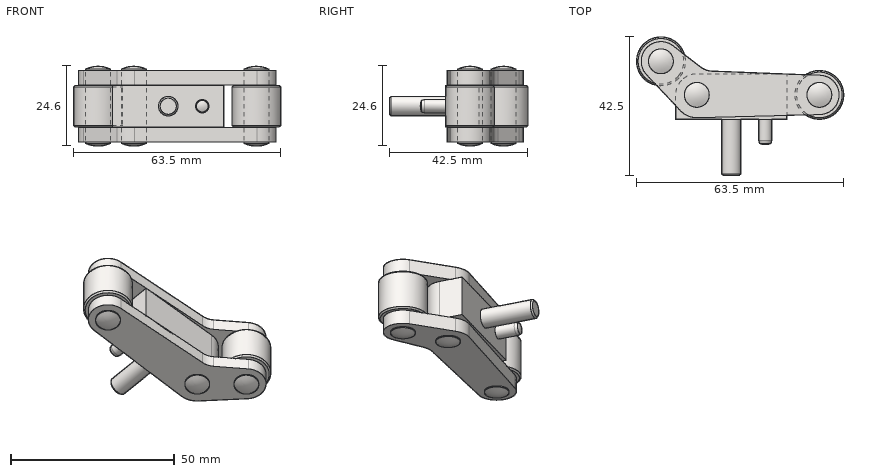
import cadquery as cq
import math

LEFT_ROLLER_AXIS = (-11.0, 10.3)
BLOCK_RIVET_AXIS = (0.0, 0.0)
RIGHT_ROLLER_AXIS = (37.5, 0.0)
RIVET_AXES = [LEFT_ROLLER_AXIS, BLOCK_RIVET_AXIS, RIGHT_ROLLER_AXIS]
ROLLER_AXES = [LEFT_ROLLER_AXIS, RIGHT_ROLLER_AXIS]

PLATE_INNER_Z = 6.5
PLATE_THICKNESS = 4.5
PLATE_OUTER_Z = PLATE_INNER_Z + PLATE_THICKNESS
LOBE_RADIUS = 6.0
ELBOW_RADIUS = 7.0
INNER_BEND_REACH = 7.5
INNER_BEND_FILLET = 6.0

PLATE_CLEARANCE = 0.05
CORE_HALF_HEIGHT = PLATE_INNER_Z - PLATE_CLEARANCE
ROLLER_RADIUS = 7.5
ROLLER_CHAMFER = 0.5
BLOCK_END_RADIUS = 6.5
BLOCK_FRONT_Y = -7.5
BLOCK_RIGHT_X = 27.55

RIVET_RADIUS = 3.8
RIVET_RIM_HEIGHT = 0.4
RIVET_DOME_HEIGHT = 0.9

STUD_X = 10.5
STUD_RADIUS = 3.0
STUD_LENGTH = 17.2
STUD_CHAMFER = 0.5
PIN_X = 20.95
PIN_RADIUS = 2.0
PIN_TIP_RADIUS = 1.8
PIN_STRAIGHT_LENGTH = 6.4
PIN_TAPER_LENGTH = 0.95
PIN_DOME_HEIGHT = 0.4


def polar(center, radius, angle):
    """Point at the given radius and angle around a center."""
    return (center[0] + radius * math.cos(angle), center[1] + radius * math.sin(angle))


def tangent_normal(start, start_radius, end, end_radius, side):
    """Direction of the normal of an outer tangent line; side +1 is left of start-to-end, -1 right."""
    dx = end[0] - start[0]
    dy = end[1] - start[1]
    lean = math.acos((start_radius - end_radius) / math.hypot(dx, dy))
    return math.atan2(dy, dx) + side * lean


def make_plate(bottom_z):
    left, elbow, right = LEFT_ROLLER_AXIS, BLOCK_RIVET_AXIS, RIGHT_ROLLER_AXIS
    left_lower = tangent_normal(left, LOBE_RADIUS, elbow, ELBOW_RADIUS, -1)
    right_lower = tangent_normal(elbow, ELBOW_RADIUS, right, LOBE_RADIUS, -1)
    left_upper = tangent_normal(left, LOBE_RADIUS, elbow, INNER_BEND_REACH, 1)
    right_upper = tangent_normal(elbow, INNER_BEND_REACH, right, LOBE_RADIUS, 1)

    half_turn = (right_upper - left_upper) / 2
    inner_bend = polar(elbow, INNER_BEND_REACH / math.cos(half_turn), left_upper + half_turn)

    left_tip = math.atan2(left[1] - elbow[1], left[0] - elbow[0])
    elbow_mid = (left_lower + right_lower) / 2
    outline = (
        cq.Workplane("XY", origin=(0, 0, bottom_z))
        .moveTo(*polar(left, LOBE_RADIUS, left_upper))
        .threePointArc(polar(left, LOBE_RADIUS, left_tip), polar(left, LOBE_RADIUS, left_lower))
        .lineTo(*polar(elbow, ELBOW_RADIUS, left_lower))
        .threePointArc(polar(elbow, ELBOW_RADIUS, elbow_mid), polar(elbow, ELBOW_RADIUS, right_lower))
        .lineTo(*polar(right, LOBE_RADIUS, right_lower))
        .threePointArc(polar(right, LOBE_RADIUS, 0), polar(right, LOBE_RADIUS, right_upper))
        .lineTo(*inner_bend)
        .close()
    )
    bend_edge_middle = (*inner_bend, bottom_z + PLATE_THICKNESS / 2)
    plate = (
        outline.extrude(PLATE_THICKNESS)
        .edges(cq.selectors.NearestToPointSelector(bend_edge_middle))
        .fillet(INNER_BEND_FILLET)
    )
    return plate.cut(rivet_holes(RIVET_AXES))


def rivet_holes(axes):
    """Cutters for rivet holes through the full stack."""
    return (
        cq.Workplane("XY", origin=(0, 0, -PLATE_OUTER_Z))
        .pushPoints(axes)
        .circle(RIVET_RADIUS)
        .extrude(2 * PLATE_OUTER_Z)
    )


def make_roller(axis):
    roller = (
        cq.Workplane("XY", origin=(0, 0, -CORE_HALF_HEIGHT))
        .center(*axis)
        .circle(ROLLER_RADIUS)
        .extrude(2 * CORE_HALF_HEIGHT)
        .faces("|Z")
        .edges()
        .chamfer(ROLLER_CHAMFER)
    )
    return roller.cut(rivet_holes([axis]))


def make_block():
    """Block whose -X end is rounded around the middle rivet on its +Y side."""
    arc_middle = polar(BLOCK_RIVET_AXIS, BLOCK_END_RADIUS, math.radians(135))
    block = (
        cq.Workplane("XY", origin=(0, 0, -CORE_HALF_HEIGHT))
        .moveTo(-BLOCK_END_RADIUS, BLOCK_FRONT_Y)
        .lineTo(BLOCK_RIGHT_X, BLOCK_FRONT_Y)
        .lineTo(BLOCK_RIGHT_X, BLOCK_END_RADIUS)
        .lineTo(0, BLOCK_END_RADIUS)
        .threePointArc(arc_middle, (-BLOCK_END_RADIUS, 0))
        .close()
        .extrude(2 * CORE_HALF_HEIGHT)
    )
    return block.cut(rivet_holes([BLOCK_RIVET_AXIS]))


def dome_middle(radius, height):
    """Radius and rise of a point halfway along the arc from a dome's rim to its crown."""
    sphere_radius = (radius**2 + height**2) / (2 * height)
    half_angle = math.asin(radius / sphere_radius) / 2
    return (sphere_radius * math.sin(half_angle), height - sphere_radius * (1 - math.cos(half_angle)))


def make_rivet(axis):
    """Straight rivet with a low dome on both ends."""
    rim_z = PLATE_OUTER_Z + RIVET_RIM_HEIGHT
    crown_z = rim_z + RIVET_DOME_HEIGHT
    arc_radius, arc_rise = dome_middle(RIVET_RADIUS, RIVET_DOME_HEIGHT)
    profile = (
        cq.Workplane("XZ")
        .moveTo(0, -crown_z)
        .threePointArc((arc_radius, -rim_z - arc_rise), (RIVET_RADIUS, -rim_z))
        .lineTo(RIVET_RADIUS, rim_z)
        .threePointArc((arc_radius, rim_z + arc_rise), (0, crown_z))
        .close()
    )
    return profile.revolve(360, (0, 0), (0, 1)).translate((*axis, 0))


def make_stud():
    """Round stud standing on the -Y face of the block."""
    return (
        cq.Workplane("XZ", origin=(STUD_X, BLOCK_FRONT_Y, 0))
        .circle(STUD_RADIUS)
        .extrude(STUD_LENGTH)
        .faces("<Y")
        .edges()
        .chamfer(STUD_CHAMFER)
    )


def make_locating_pin():
    """Pin with a tapered, domed tip standing on the -Y face of the block."""
    taper_end = PIN_STRAIGHT_LENGTH + PIN_TAPER_LENGTH
    arc_radius, arc_rise = dome_middle(PIN_TIP_RADIUS, PIN_DOME_HEIGHT)
    profile = (
        cq.Workplane("XY")
        .lineTo(PIN_RADIUS, 0)
        .lineTo(PIN_RADIUS, -PIN_STRAIGHT_LENGTH)
        .lineTo(PIN_TIP_RADIUS, -taper_end)
        .threePointArc((arc_radius, -taper_end - arc_rise), (0, -taper_end - PIN_DOME_HEIGHT))
        .close()
    )
    return profile.revolve(360, (0, 0), (0, 1)).translate((PIN_X, BLOCK_FRONT_Y, 0))


plates = [make_plate(bottom_z) for bottom_z in (PLATE_INNER_Z, -PLATE_OUTER_Z)]
rollers = [make_roller(axis) for axis in ROLLER_AXES]
rivets = [make_rivet(axis) for axis in RIVET_AXES]
block = make_block()
stud = make_stud()
locating_pin = make_locating_pin()

bodies = [*plates, *rollers, *rivets, block, stud, locating_pin]
result = cq.Compound.makeCompound([body.val() for body in bodies])